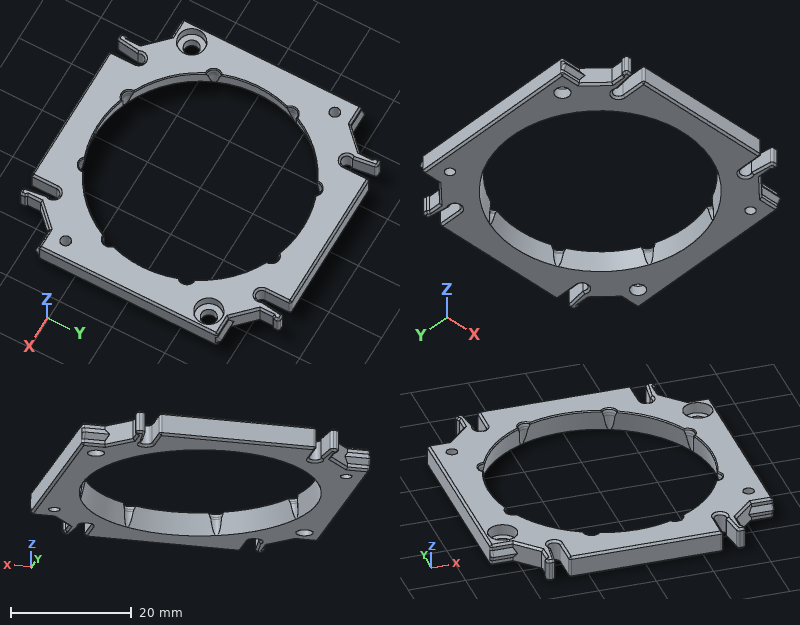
import cadquery as cq
import math

half_side = 24.7
thickness = 4.0
edge_chamfer = 0.4
corner_radius = 0.4

ear_half = 17.0
diagonal_reach = 37.8
diagonal_end = diagonal_reach - ear_half

block_half = 13.45
slot_radius = 1.05
slot_bottom = 18.7
slot_centre_y = slot_bottom + slot_radius

arm_root_angle = 35
arm_tip_x = 15.9
hook_x = 17.35
hook_bottom = 23.6
hook_heel = 23.25
arm_tip_radius = 0.5
hook_radius = 0.45

ridge_height = 0.65
ridge_base = 2.0
ridge_embed = 0.3

rim_chamfer = 0.2
bore_throat_radius = 19.35
bore_bottom_radius = 20.05
notch_count = 8
notch_ring = 19.0
notch_mouth_radius = 1.3
notch_cone_radius = 1.15
notch_cone_depth = 0.75
notch_shaft_radius = 1.05
notch_shaft_depth = 1.15

hole_x = 21.45
hole_y = 13.6
small_hole = 1.9
large_hole = 2.8
counterbore = 5.0
counterbore_depth = 2.0


def quadrant_plate():
    """Quarter of the plate in the +X, +Y quadrant, sharp top and bottom edges."""
    slot_middle_x = block_half + slot_radius
    arm_root_x = slot_middle_x + slot_radius * math.cos(math.radians(arm_root_angle))
    arm_root_y = slot_centre_y + slot_radius * math.sin(math.radians(arm_root_angle))
    outline = (
        cq.Workplane("XY")
        .lineTo(half_side, 0)
        .lineTo(half_side, ear_half)
        .lineTo(diagonal_end, ear_half)
        .lineTo(ear_half, diagonal_end)
        .lineTo(ear_half, hook_heel)
        .lineTo(hook_x, hook_bottom)
        .lineTo(hook_x, half_side)
        .lineTo(arm_tip_x, half_side)
        .lineTo(arm_root_x, arm_root_y)
        .threePointArc((slot_middle_x, slot_bottom), (block_half, slot_centre_y))
        .lineTo(block_half, half_side)
        .lineTo(0, half_side)
        .close()
    )
    plate = outline.extrude(thickness)
    rounded_corners = (
        (half_side, ear_half, corner_radius),
        (block_half, half_side, corner_radius),
        (hook_x, half_side, hook_radius),
        (arm_tip_x, half_side, arm_tip_radius),
    )
    for x, y, radius in rounded_corners:
        corner = cq.selectors.NearestToPointSelector((x, y, thickness / 2))
        plate = plate.edges("|Z").edges(corner).fillet(radius)
    return plate


def whole_plate():
    """Four mirrored quarters, chamfered round the outline at the top and bottom."""
    quarter = quadrant_plate()
    half = quarter.union(quarter.mirror("YZ"))
    plate = half.union(half.mirror("XZ")).clean()
    return plate.faces("|Z").edges().chamfer(edge_chamfer)


def ear_ridge():
    """V-shaped ridge on the +X, +Y ear wall, running from the diagonal wall to a rounded end."""
    middle = thickness / 2
    root_y = ear_half - ridge_embed
    root_half = ridge_base / 2 * (ridge_height + ridge_embed) / ridge_height
    ridge = (
        cq.Workplane("YZ", origin=(diagonal_end - ridge_height, 0, 0))
        .moveTo(root_y, middle - root_half)
        .lineTo(ear_half + ridge_height, middle)
        .lineTo(root_y, middle + root_half)
        .close()
        .extrude(half_side - diagonal_end + ridge_height)
    )
    return ridge.faces(">X").edges("not |Z").fillet(corner_radius)


def turned_cutter(wall):
    """Solid of revolution about Z through the plate; wall lists (radius, depth) from the top down."""
    points = [(radius, thickness - depth) for radius, depth in wall]
    return (
        cq.Workplane("XZ")
        .polyline([(0, thickness), *points, (0, 0)])
        .close()
        .revolve(360, (0, 0), (0, 1))
    )


def bore_cutter():
    return turned_cutter([
        (bore_throat_radius + rim_chamfer, 0),
        (bore_throat_radius, rim_chamfer),
        (bore_bottom_radius, thickness),
    ])


def notch_cutter():
    return turned_cutter([
        (notch_mouth_radius + rim_chamfer, 0),
        (notch_mouth_radius, rim_chamfer),
        (notch_cone_radius, notch_cone_depth),
        (notch_shaft_radius, notch_shaft_depth),
        (notch_shaft_radius, thickness),
    ]).translate((notch_ring, 0, 0))


result = whole_plate()

ridge = ear_ridge()
for end_ridge in (ridge, ridge.mirror("YZ")):
    result = result.union(end_ridge).union(end_ridge.mirror("XZ"))

result = result.cut(bore_cutter())
notch_spacing = 360 / notch_count
for index in range(notch_count):
    angle = (index + 0.5) * notch_spacing
    result = result.cut(notch_cutter().rotate((0, 0, 0), (0, 0, 1), angle))

upper_face = cq.Workplane("XY", origin=(0, 0, thickness))
for side in (1, -1):
    small_hole_place = (-side * hole_x, side * hole_y)
    large_hole_place = (side * hole_x, side * hole_y)
    result = result.cut(upper_face.moveTo(*small_hole_place).circle(small_hole / 2).extrude(-thickness))
    result = result.cut(upper_face.moveTo(*large_hole_place).circle(large_hole / 2).extrude(-thickness))
    result = result.cut(upper_face.moveTo(*large_hole_place).circle(counterbore / 2).extrude(-counterbore_depth))